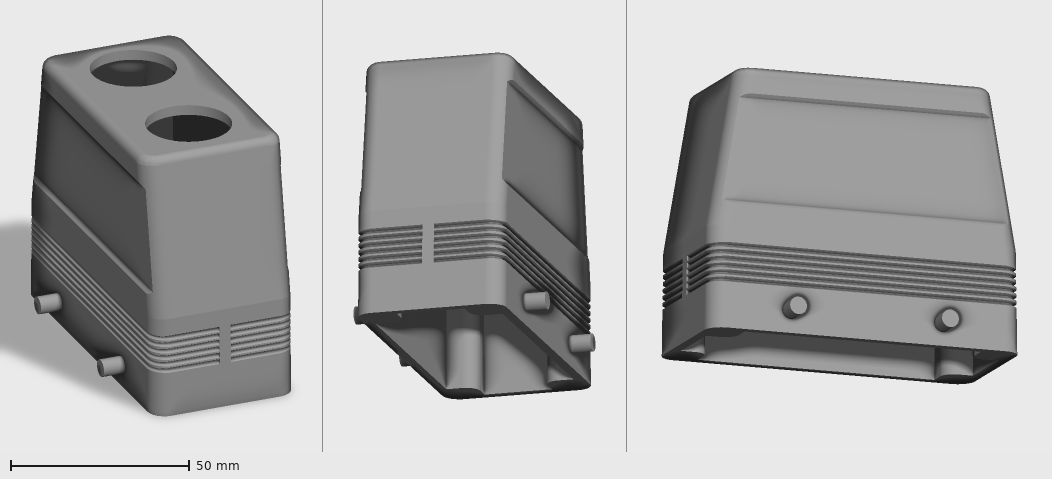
import cadquery as cq
import math

base_length = 93.5
shoulder_length = 92.6
width = 43.2
height = 76.0
shoulder_z = 29.8
end_slope = 10.0
corner_radius = 5.05
top_radius = 2.5
wall = 3.0

hole_diameter = 24.5
hole_spacing = 40.0

panel_depth = 1.0
panel_bottom = 36.1
panel_top = 68.1
panel_bevel = 1.1

groove_count = 6
groove_mouth = 1.5
groove_depth = 1.0
groove_bevel = 0.6
groove_corner_radius = 4.5
groove_band_bottom = 13.3
groove_band_top = 24.7
end_rib_width = 3.4

pin_diameter = 5.05
pin_spacing = 45.5
pin_span = 56.0
pin_z = 6.5

post_inner_x = 35.4
post_inner_y = 9.9
post_radius = 4.0

shoulder_rise = height - shoulder_z
top_length = shoulder_length - 2 * shoulder_rise * math.tan(math.radians(end_slope))
groove_pitch = (groove_band_top - groove_band_bottom - groove_mouth) / (groove_count - 1)
draft_per_height = (base_length - shoulder_length) / 2 / shoulder_z
inner_width = width - 2 * wall
oversize = base_length + 2 * wall


def tapered_block(inset, depth_y):
    """Block with the tapered end outline, its ends and top moved inwards by inset."""
    tan_slope = math.tan(math.radians(end_slope))
    end_inset = inset / math.cos(math.radians(end_slope))
    half_base = base_length / 2 - inset
    half_shoulder = shoulder_length / 2 - inset
    half_top = top_length / 2 - end_inset + inset * tan_slope
    inner_shoulder_z = height - inset - (half_shoulder - half_top) / tan_slope
    return (
        cq.Workplane("XZ")
        .polyline([
            (-half_base, 0),
            (half_base, 0),
            (half_shoulder, inner_shoulder_z),
            (half_top, height - inset),
            (-half_top, height - inset),
            (-half_shoulder, inner_shoulder_z),
        ])
        .close()
        .extrude(depth_y / 2, both=True)
    )


def outer_shell():
    block = tapered_block(0, width)
    block = block.edges("#Y and (not |X)").fillet(corner_radius)
    return block.faces(">Z").edges().fillet(top_radius)


def corner_posts():
    post_length = base_length / 2 + post_radius - post_inner_x
    post_width = width / 2 + post_radius - post_inner_y
    posts = cq.Workplane("XY")
    for side_x in (-1, 1):
        for side_y in (-1, 1):
            post = (
                cq.Workplane("XY")
                .center(
                    side_x * (post_inner_x + post_length / 2),
                    side_y * (post_inner_y + post_width / 2),
                )
                .rect(post_length, post_width)
                .extrude(height)
                .edges("|Z")
                .fillet(post_radius)
            )
            posts = posts.union(post)
    return posts


def cavity():
    return tapered_block(wall, inner_width).cut(corner_posts())


def cable_holes():
    return (
        cq.Workplane("XY")
        .workplane(offset=height - 2 * wall)
        .pushPoints([(-hole_spacing / 2, 0), (hole_spacing / 2, 0)])
        .circle(hole_diameter / 2)
        .extrude(3 * wall)
    )


def side_panel(side_y):
    face_y = side_y * width / 2
    floor_y = face_y - side_y * panel_depth
    return (
        cq.Workplane("YZ")
        .polyline([
            (face_y, panel_bottom),
            (floor_y, panel_bottom + panel_bevel),
            (floor_y, panel_top - panel_bevel),
            (face_y, panel_top),
        ])
        .close()
        .extrude(oversize / 2, both=True)
    )


def rounded_plate(z, length, inset, thickness, taper=0.0):
    """Plate with the shell's plan shrunk by inset on every side, and the corners of the grooves."""
    return (
        cq.Workplane("XY")
        .workplane(offset=z)
        .sketch()
        .rect(length - 2 * inset, width - 2 * inset)
        .vertices()
        .fillet(groove_corner_radius - inset)
        .finalize()
        .extrude(thickness, taper=taper)
    )


def groove(z):
    """Ring with sloped sides around the shell, its mouth starting at z, broken by both end ribs."""
    length = base_length - 2 * draft_per_height * (z + groove_mouth / 2)
    bevel_angle = math.degrees(math.atan(groove_depth / groove_bevel))
    floor = rounded_plate(z, length, groove_depth, groove_mouth)
    lower_side = rounded_plate(z, length, 0, groove_bevel, bevel_angle)
    upper_side = rounded_plate(z + groove_mouth, length, 0, -groove_bevel, bevel_angle)
    ring = cq.Workplane("XY").workplane(offset=z).rect(oversize, oversize).extrude(groove_mouth)
    ring = ring.cut(floor).cut(lower_side).cut(upper_side)
    end_ribs = cq.Workplane("XY").workplane(offset=z).rect(oversize, end_rib_width).extrude(groove_mouth)
    return ring.cut(end_ribs)


def pin(x, side_y):
    inner_y = width / 2 - wall / 2
    return (
        cq.Workplane("XZ", origin=(x, side_y * inner_y, pin_z))
        .circle(pin_diameter / 2)
        .extrude(-side_y * (pin_span / 2 - inner_y))
    )


result = outer_shell().cut(cavity()).cut(cable_holes())

for side in (-1, 1):
    result = result.cut(side_panel(side))

for index in range(groove_count):
    result = result.cut(groove(groove_band_bottom + index * groove_pitch))

for side in (-1, 1):
    for pin_x in (-pin_spacing / 2, pin_spacing / 2):
        result = result.union(pin(pin_x, side))